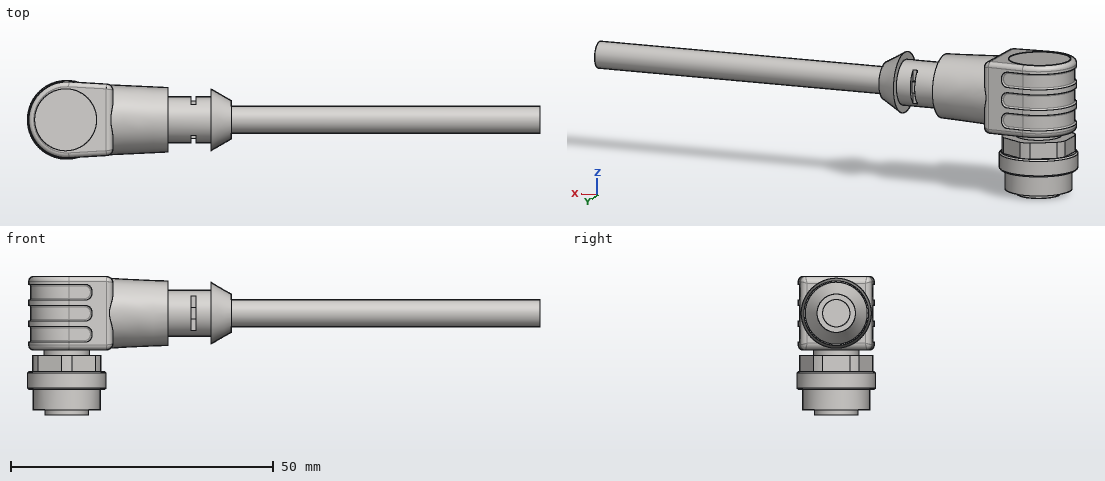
import cadquery as cq
import math


CABLE_END_X = 90.05
INSERT_BOTTOM_Z = -19.4

HOUSING_HEIGHT = 14.0
HOUSING_RADIUS = 7.25
HOUSING_END_X = 8.8
HOUSING_END_HALF_WIDTH = 6.75
HOUSING_FILLET = 0.95
HOUSING_END_FILLET = 1.3

LABEL_DIAMETER = 11.8
LABEL_DEPTH = 0.1
LABEL_X = -0.2

GROOVE_COUNT = 3
GROOVE_PITCH = 4.0
GROOVE_HEIGHT = 3.0
GROOVE_DEPTH = 0.35
GROOVE_END_X = 4.8
GROOVE_END_RADIUS = 1.3
GROOVE_FLOOR_FILLET = 0.3
GROOVE_CUTTER_MARGIN = 1.0

SLEEVE_START_DIAMETER = 13.4
SLEEVE_END_DIAMETER = 12.3
SLEEVE_END_X = 19.3
NECK_DIAMETER = 8.8
COLLAR_START_X = 27.4
COLLAR_END_X = 31.3
COLLAR_START_DIAMETER = 11.8
COLLAR_END_DIAMETER = 7.3
CABLE_DIAMETER = 5.2

SLOT_X = 24.1
SLOT_WIDTH = 0.9
SLOT_FLOOR_Y = 2.95
RIB_TOP_Y = 3.6
RIB_HEIGHT = 2.2

STEM_DIAMETER = 8.7
HEX_ACROSS_FLATS = 13.0
HEX_CORNER_DIAMETER = 14.0
HEX_TOP_Z = -8.0
RING_DIAMETER = 15.0
RING_TOP_Z = -11.1
RING_BOTTOM_Z = -14.5
RING_CHAMFER = 0.3
NUT_DIAMETER = 12.8
NUT_BOTTOM_Z = -18.4
INSERT_DIAMETER = 8.3


def cylinder_z(diameter, bottom_z, top_z):
    """Upright cylinder on the coupling axis."""
    return cq.Workplane("XY").workplane(offset=bottom_z).circle(diameter / 2).extrude(top_z - bottom_z)


def cone_x(start_diameter, end_diameter, start_x, end_x):
    """Cone or cylinder on the cable axis."""
    outline = [
        (start_x, 0),
        (start_x, start_diameter / 2),
        (end_x, end_diameter / 2),
        (end_x, 0),
    ]
    return cq.Workplane("XY").polyline(outline).close().revolve(360, (0, 0, 0), (1, 0, 0))


def housing_prism(inset):
    """Housing outline moved inwards by the inset, extruded to the full housing height."""
    radius = HOUSING_RADIUS - inset
    end_half_width = HOUSING_END_HALF_WIDTH - inset
    end_distance = math.hypot(HOUSING_END_X, end_half_width)
    tangent_angle = math.atan2(end_half_width, HOUSING_END_X) + math.acos(radius / end_distance)
    tangent_x = radius * math.cos(tangent_angle)
    tangent_y = radius * math.sin(tangent_angle)
    return (
        cq.Workplane("XY")
        .workplane(offset=-HOUSING_HEIGHT / 2)
        .moveTo(HOUSING_END_X, end_half_width)
        .lineTo(tangent_x, tangent_y)
        .threePointArc((-radius, 0), (tangent_x, -tangent_y))
        .lineTo(HOUSING_END_X, -end_half_width)
        .close()
        .extrude(HOUSING_HEIGHT)
    )


def make_groove_band():
    """Layer from the groove floor out to clear of the housing surface."""
    return housing_prism(-GROOVE_CUTTER_MARGIN).cut(housing_prism(GROOVE_DEPTH))


def make_groove_cutter(center_z):
    """Band with rounded ends that wraps around the round side of the housing."""
    length = 2 * (HOUSING_RADIUS + GROOVE_END_X)
    width = 4 * HOUSING_RADIUS
    slab = (
        cq.Workplane("XY")
        .box(length, width, GROOVE_HEIGHT)
        .edges("|Y")
        .fillet(GROOVE_END_RADIUS)
        .translate((GROOVE_END_X - length / 2, 0, center_z))
    )
    housing_corner = (HOUSING_RADIUS, HOUSING_RADIUS, HOUSING_HEIGHT)
    opposite_corner = tuple(-size for size in housing_corner)
    floor_edges = cq.selectors.BoxSelector(opposite_corner, housing_corner, boundingbox=True)
    return slab.intersect(make_groove_band()).edges(floor_edges).fillet(GROOVE_FLOOR_FILLET)


def make_housing():
    housing = housing_prism(0)
    housing = housing.faces(">X").edges().fillet(HOUSING_END_FILLET)
    housing = housing.faces("|Z").edges().fillet(HOUSING_FILLET)
    label = cylinder_z(LABEL_DIAMETER, HOUSING_HEIGHT / 2 - LABEL_DEPTH, HOUSING_HEIGHT / 2)
    housing = housing.cut(label.translate((LABEL_X, 0, 0)))
    for index in range(GROOVE_COUNT):
        center_z = (index - (GROOVE_COUNT - 1) / 2) * GROOVE_PITCH
        housing = housing.cut(make_groove_cutter(center_z))
    return housing


def make_slot_cutter(side):
    """Slot on one side of the neck: deep at both ends, shallower over the middle rib."""
    outer_y = NECK_DIAMETER / 2
    slot_depth = outer_y - SLOT_FLOOR_Y
    rib_depth = RIB_TOP_Y - SLOT_FLOOR_Y
    slot = cq.Workplane("XY").box(SLOT_WIDTH, slot_depth, NECK_DIAMETER)
    slot = slot.translate((SLOT_X, side * (SLOT_FLOOR_Y + slot_depth / 2), 0))
    rib = cq.Workplane("XY").box(SLOT_WIDTH, rib_depth, RIB_HEIGHT)
    rib = rib.translate((SLOT_X, side * (SLOT_FLOOR_Y + rib_depth / 2), 0))
    return slot.cut(rib)


def make_cable_side():
    sleeve_start_x = HOUSING_END_X - HOUSING_END_FILLET
    sleeve = cone_x(SLEEVE_START_DIAMETER, SLEEVE_END_DIAMETER, sleeve_start_x, SLEEVE_END_X)
    neck = cone_x(NECK_DIAMETER, NECK_DIAMETER, SLEEVE_END_X, COLLAR_START_X)
    for side in (-1, 1):
        neck = neck.cut(make_slot_cutter(side))
    collar = cone_x(COLLAR_START_DIAMETER, COLLAR_END_DIAMETER, COLLAR_START_X, COLLAR_END_X)
    cable = cone_x(CABLE_DIAMETER, CABLE_DIAMETER, COLLAR_END_X, CABLE_END_X)
    return sleeve.union(neck).union(collar).union(cable)


def make_coupling():
    stem = cylinder_z(STEM_DIAMETER, HEX_TOP_Z, -HOUSING_HEIGHT / 2)
    hexagon = (
        cq.Workplane("XY")
        .workplane(offset=RING_TOP_Z)
        .polygon(6, HEX_ACROSS_FLATS / math.cos(math.pi / 6))
        .extrude(HEX_TOP_Z - RING_TOP_Z)
        .rotate((0, 0, 0), (0, 0, 1), 30)
        .intersect(cylinder_z(HEX_CORNER_DIAMETER, RING_TOP_Z, HEX_TOP_Z))
    )
    ring = cylinder_z(RING_DIAMETER, RING_BOTTOM_Z, RING_TOP_Z).faces("|Z").chamfer(RING_CHAMFER)
    nut = cylinder_z(NUT_DIAMETER, NUT_BOTTOM_Z, RING_BOTTOM_Z)
    insert = cylinder_z(INSERT_DIAMETER, INSERT_BOTTOM_Z, NUT_BOTTOM_Z)
    return stem.union(hexagon).union(ring).union(nut).union(insert)


result = make_housing().union(make_cable_side()).union(make_coupling())